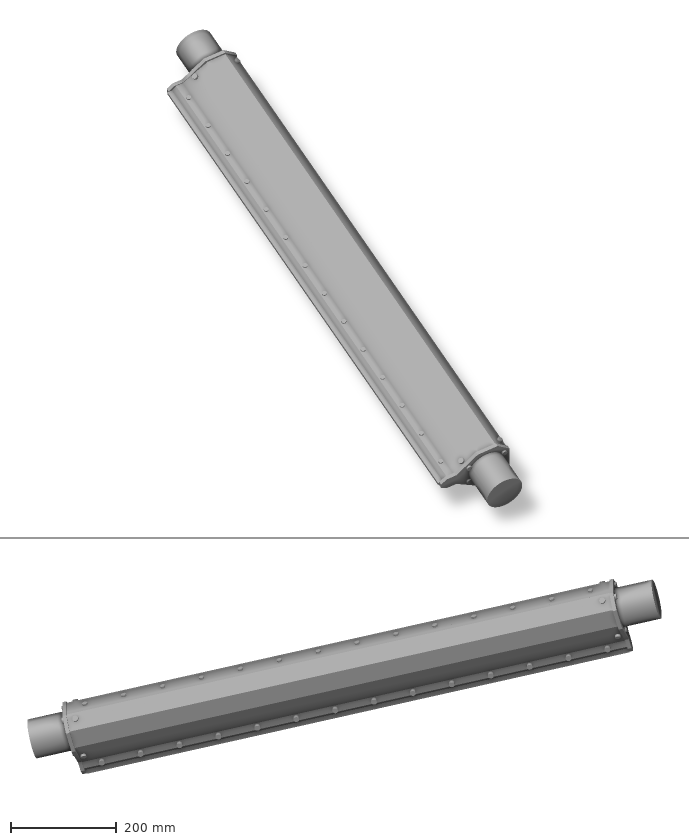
import cadquery as cq
import math

LENGTH = 1224.0
AXIS_Y = 23.0
YAW_DEGREES = -0.25

STUB_DIAMETER = 76.0

PLATE_OUTER_X = 540.0
PLATE_THICKNESS = 7.0
PLATE_INNER_X = PLATE_OUTER_X - PLATE_THICKNESS
PLATE_HEIGHT = 97.0
PLATE_HALF_HEIGHT = PLATE_HEIGHT / 2
PLATE_BACK = 50.0
PLATE_BACK_FACE_HALF_HEIGHT = 25.0
PLATE_TOP_BACK = 25.0
PLATE_TOP_FRONT = -18.0
PLATE_NECK_BACK = -65.0
PLATE_NECK_FRONT = -86.0
PLATE_NECK_HALF_HEIGHT = 13.0
PLATE_TIP = -98.0
PLATE_TIP_HALF_HEIGHT = 5.0

BODY_HALF_HEIGHT = 44.0
BODY_BACK = 49.0
BODY_TOP_BACK = 25.0
BODY_TOP_FRONT = -13.0
NECK_BACK = -67.0
NECK_FRONT = -82.0
NECK_HALF_HEIGHT = 11.6
LIP_HALF_HEIGHT = 3.0
LIP_BACK = NECK_FRONT - (NECK_HALF_HEIGHT - LIP_HALF_HEIGHT)
LIP_FRONT = -100.0
BODY_BACK_FACE_HALF_HEIGHT = 21.0

ROW_COUNT = 14
ROW_SPAN = 992.0
ROW_PITCH = ROW_SPAN / (ROW_COUNT - 1)
ROW_HEAD_DIAMETER = 9.5
BACK_HEAD_HEIGHT = 4.0
NECK_HEAD_HEIGHT = 2.0
NECK_NUT_DIAMETER = 11.0
NECK_NUT_HEIGHT = 7.0

PLATE_SCREW_DIAMETER = 11.0
PLATE_SCREW_HEIGHT = 4.0
PLATE_SCREW_Y = 38.0
PLATE_SCREW_Z = 21.0

SLOPE_SCREW_DIAMETER = 11.0
SLOPE_SCREW_HEIGHT = 5.0
FRONT_SLOPE_SCREW_X = 524.0
FRONT_SLOPE_SCREW_Y = -44.0
BACK_SLOPE_SCREW_X = 517.0
BACK_SLOPE_SCREW_Y = 40.0

EMBED = 4.0

BODY_UPPER = [
    (BODY_BACK, BODY_BACK_FACE_HALF_HEIGHT),
    (BODY_TOP_BACK, BODY_HALF_HEIGHT),
    (BODY_TOP_FRONT, BODY_HALF_HEIGHT),
    (NECK_BACK, NECK_HALF_HEIGHT),
    (NECK_FRONT, NECK_HALF_HEIGHT),
    (LIP_BACK, LIP_HALF_HEIGHT),
    (LIP_FRONT, LIP_HALF_HEIGHT),
]
PLATE_UPPER = [
    (PLATE_BACK, PLATE_BACK_FACE_HALF_HEIGHT),
    (PLATE_TOP_BACK, PLATE_HALF_HEIGHT),
    (PLATE_TOP_FRONT, PLATE_HALF_HEIGHT),
    (PLATE_NECK_BACK, PLATE_NECK_HALF_HEIGHT),
    (PLATE_NECK_FRONT, PLATE_NECK_HALF_HEIGHT),
    (PLATE_TIP, PLATE_TIP_HALF_HEIGHT),
]


def mirrored_prism(upper, start_x, length):
    """Extrude along X the outline made of `upper` and its mirror image below Z = 0."""
    lower = [(y, -z) for y, z in reversed(upper)]
    return cq.Workplane("YZ").workplane(offset=start_x).polyline(upper + lower).close().extrude(length)


def head(base, direction, diameter, height):
    """Cylinder standing `height` proud of the surface point `base`, sunk by EMBED."""
    normal = cq.Vector(*direction).normalized()
    start = cq.Vector(*base) - normal * EMBED
    return cq.Workplane(obj=cq.Solid.makeCylinder(diameter / 2, height + EMBED, start, normal))


def row_fasteners():
    heads = []
    neck_y = (NECK_BACK + NECK_FRONT) / 2
    for i in range(ROW_COUNT):
        x = -ROW_SPAN / 2 + i * ROW_PITCH
        heads.append(head((x, BODY_BACK, 0), (0, 1, 0), ROW_HEAD_DIAMETER, BACK_HEAD_HEIGHT))
        heads.append(head((x, neck_y, NECK_HALF_HEIGHT), (0, 0, 1), ROW_HEAD_DIAMETER, NECK_HEAD_HEIGHT))
        heads.append(head((x, neck_y, -NECK_HALF_HEIGHT), (0, 0, -1), NECK_NUT_DIAMETER, NECK_NUT_HEIGHT))
    return heads


def plate_screws(end):
    return [
        head((end * PLATE_OUTER_X, y, z), (end, 0, 0), PLATE_SCREW_DIAMETER, PLATE_SCREW_HEIGHT)
        for y in (PLATE_SCREW_Y, -PLATE_SCREW_Y)
        for z in (PLATE_SCREW_Z, -PLATE_SCREW_Z)
    ]


def slope_screw(x, y, lower_point, upper_point, side):
    """Screw on the face through two outline points; side is +1 above Z = 0 and -1 below."""
    slope = (upper_point[1] - lower_point[1]) / (upper_point[0] - lower_point[0])
    z = lower_point[1] + slope * (y - lower_point[0])
    return head((x, y, side * z), (0, -slope, side), SLOPE_SCREW_DIAMETER, SLOPE_SCREW_HEIGHT)


def slope_screws(end):
    back_bottom, back_top, front_top, front_bottom = BODY_UPPER[:4]
    screws = []
    for side in (1, -1):
        screws.append(
            slope_screw(end * FRONT_SLOPE_SCREW_X, FRONT_SLOPE_SCREW_Y, front_bottom, front_top, side)
        )
        screws.append(
            slope_screw(end * BACK_SLOPE_SCREW_X, BACK_SLOPE_SCREW_Y, back_bottom, back_top, side)
        )
    return screws


yaw = math.radians(abs(YAW_DEGREES))
stub_length = (LENGTH - STUB_DIAMETER * math.sin(yaw)) / math.cos(yaw)
part = cq.Workplane("YZ").circle(STUB_DIAMETER / 2).extrude(stub_length / 2, both=True)
part = part.union(mirrored_prism(BODY_UPPER, -PLATE_INNER_X, 2 * PLATE_INNER_X))
for plate_start in (-PLATE_OUTER_X, PLATE_INNER_X):
    part = part.union(mirrored_prism(PLATE_UPPER, plate_start, PLATE_THICKNESS))

fasteners = row_fasteners()
for end in (-1, 1):
    fasteners += plate_screws(end) + slope_screws(end)
for fastener in fasteners:
    part = part.union(fastener)

result = part.rotate((0, 0, 0), (0, 0, 1), YAW_DEGREES).translate((0, AXIS_Y, 0))